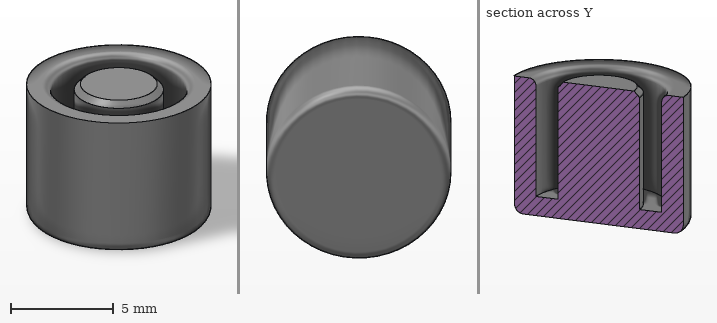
import cadquery as cq

outer_diameter = 9.0
height = 7.0
bottom_edge_radius = 0.5

cavity_diameter = 6.65
cavity_rim_radius = 0.4
floor_thickness = 1.0
cavity_depth = height - floor_thickness

pin_diameter = 4.35
pin_chamfer = 0.3


def make_cup():
    """Round cup with a rounded bottom edge and a rounded cavity mouth."""
    body = cq.Workplane("XY").circle(outer_diameter / 2).extrude(height)
    body = body.faces("<Z").edges().fillet(bottom_edge_radius)
    cavity = (
        cq.Workplane("XY", origin=(0, 0, floor_thickness))
        .circle(cavity_diameter / 2)
        .extrude(cavity_depth)
    )
    cup = body.cut(cavity)
    mouth_edge = cup.faces(">Z").edges(cq.selectors.RadiusNthSelector(0))
    return mouth_edge.fillet(cavity_rim_radius)


def make_pin():
    """Solid pin rising from the bottom of the cup, chamfered at its top."""
    pin = cq.Workplane("XY").circle(pin_diameter / 2).extrude(height)
    return pin.faces(">Z").edges().chamfer(pin_chamfer)


result = make_cup().union(make_pin())